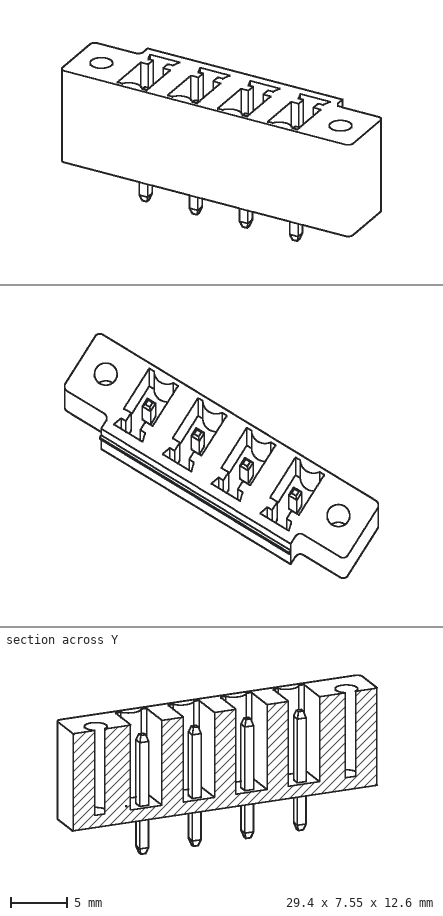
import cadquery as cq
import math


PIN_COUNT = 4
PITCH = 5.08
PIN_SIZE = 0.85
PIN_TIP_SIZE = 0.46
PIN_TAPER = 0.6
PIN_TAIL = 3.4
PIN_TOP = 7.8

LENGTH = 29.44
HEIGHT = 9.2
CENTRE_LENGTH = 19.76
BODY_DEPTH = 7.3
FLANGE_DEPTH = 6.0
CORNER_RADIUS = 0.5
FRONT_Y = -2.9
BACK_Y = FRONT_Y + BODY_DEPTH

RAIL_DEPTH = 0.25
RAIL_HEIGHT = 0.6
RAIL_DROP = 2.95

FLOOR = 1.2
CHAMBER_WIDTH = 3.0
CHAMBER_FRONT = FRONT_Y + 0.43
SHOULDER_Y = FRONT_Y + 4.7
NECK_WIDTH = 1.5
DOVETAIL_FRONT = FRONT_Y + 5.57
DOVETAIL_FRONT_WIDTH = 2.5
DOVETAIL_BACK = FRONT_Y + 6.38
KEY_WIDTH = 2.0
KEY_HEIGHT = 0.55

HOLE_SPACING = 24.24
HOLE_DIAMETER = 2.0
HOLE_DEPTH = HEIGHT - FLOOR

pin_positions = [(i - (PIN_COUNT - 1) / 2) * PITCH for i in range(PIN_COUNT)]


def make_housing():
    flanges = (
        cq.Workplane("XY")
        .box(LENGTH, FLANGE_DEPTH, HEIGHT, centered=(True, False, False))
    )
    centre = (
        cq.Workplane("XY")
        .box(CENTRE_LENGTH, BODY_DEPTH, HEIGHT, centered=(True, False, False))
    )
    outline = flanges.union(centre).translate((0, FRONT_Y, 0))
    rounded = outline.edges("|Z").edges(cq.selectors.BoxSelector(
        (-LENGTH, FRONT_Y - CORNER_RADIUS, 0),
        (LENGTH, FRONT_Y + FLANGE_DEPTH + CORNER_RADIUS, HEIGHT),
    ))
    return rounded.fillet(CORNER_RADIUS)


def make_rail():
    return (
        cq.Workplane("XY")
        .box(CENTRE_LENGTH, RAIL_DEPTH, RAIL_HEIGHT, centered=(True, False, False))
        .translate((0, BACK_Y, HEIGHT - RAIL_DROP - RAIL_HEIGHT))
    )


def make_chamber(x):
    half = CHAMBER_WIDTH / 2
    half_neck = NECK_WIDTH / 2
    half_dovetail = DOVETAIL_FRONT_WIDTH / 2
    half_key = KEY_WIDTH / 2
    return (
        cq.Workplane("XY", origin=(x, 0, FLOOR))
        .moveTo(-half, CHAMBER_FRONT)
        .lineTo(-half_key, CHAMBER_FRONT)
        .threePointArc((0, CHAMBER_FRONT + KEY_HEIGHT), (half_key, CHAMBER_FRONT))
        .lineTo(half, CHAMBER_FRONT)
        .lineTo(half, SHOULDER_Y)
        .lineTo(half_neck, SHOULDER_Y)
        .lineTo(half_neck, DOVETAIL_FRONT)
        .lineTo(half_dovetail, DOVETAIL_FRONT)
        .lineTo(half, DOVETAIL_BACK)
        .lineTo(-half, DOVETAIL_BACK)
        .lineTo(-half_dovetail, DOVETAIL_FRONT)
        .lineTo(-half_neck, DOVETAIL_FRONT)
        .lineTo(-half_neck, SHOULDER_Y)
        .lineTo(-half, SHOULDER_Y)
        .close()
        .extrude(HEIGHT - FLOOR)
    )


def make_pin(x):
    side_inset = (PIN_SIZE - PIN_TIP_SIZE) / 2
    taper_angle = math.degrees(math.atan2(side_inset, PIN_TAPER))
    shaft_bottom = PIN_TAIL - PIN_TAPER
    shaft_top = PIN_TOP - PIN_TAPER
    return (
        cq.Workplane("XY", origin=(x, 0, -shaft_bottom))
        .rect(PIN_SIZE, PIN_SIZE)
        .extrude(shaft_bottom + shaft_top)
        .faces(">Z").workplane()
        .rect(PIN_SIZE, PIN_SIZE)
        .extrude(PIN_TAPER, taper=taper_angle)
        .faces("<Z").workplane()
        .rect(PIN_SIZE, PIN_SIZE)
        .extrude(PIN_TAPER, taper=taper_angle)
    )


def cut_screw_holes(housing):
    return (
        housing.faces(">Z").workplane(origin=(0, 0, HEIGHT))
        .pushPoints([(-HOLE_SPACING / 2, 0), (HOLE_SPACING / 2, 0)])
        .hole(HOLE_DIAMETER, HOLE_DEPTH)
    )


result = cut_screw_holes(make_housing()).union(make_rail())
for pin_x in pin_positions:
    result = result.cut(make_chamber(pin_x)).union(make_pin(pin_x))